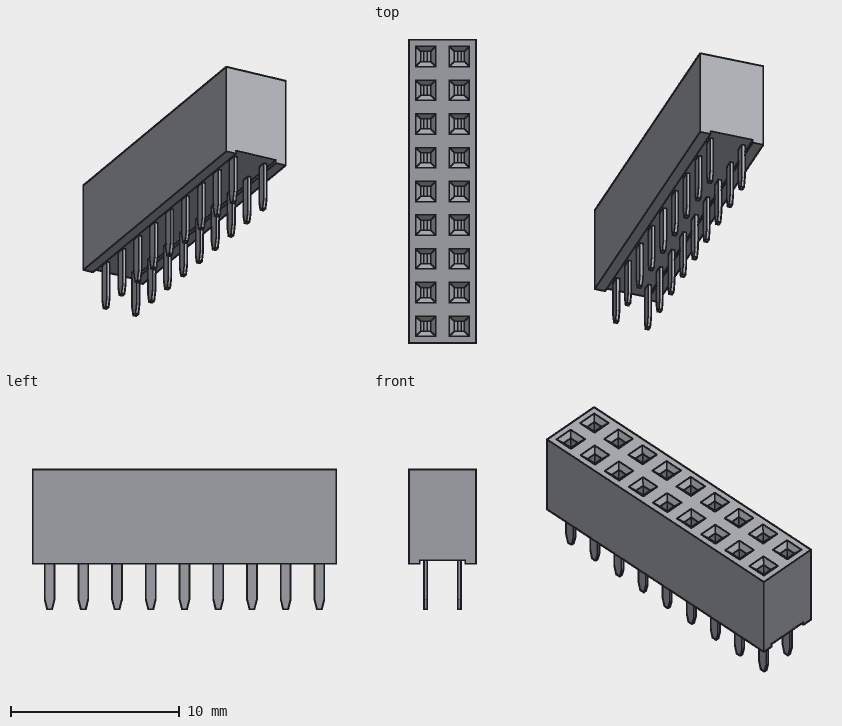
import cadquery as cq

columns = 2
rows = 9
pitch = 2.0

housing_width = columns * pitch
housing_length = rows * pitch
housing_height = 5.6
foot_width = 0.66
foot_height = 0.2

mouth_size = 1.2
well_size = 0.6
funnel_depth = 0.3
floor_thickness = 0.4

pin_thickness = 0.2
pin_width = 0.6
pin_drop = 2.7
tip_width = 0.3
tip_length = 0.6
pin_rise = 0.3

well_floor_z = foot_height + floor_thickness
funnel_bottom_z = housing_height - funnel_depth
well_depth = funnel_bottom_z - well_floor_z
pin_top_z = well_floor_z + pin_rise


def contact_positions():
    """Centres of all contacts, symmetric about the origin."""
    return [
        ((column - (columns - 1) / 2) * pitch, (row - (rows - 1) / 2) * pitch)
        for column in range(columns)
        for row in range(rows)
    ]


def make_housing():
    """Block with a full-length channel underneath that leaves a foot along each side."""
    block = cq.Workplane("XY").box(
        housing_width, housing_length, housing_height, centered=(True, True, False)
    )
    channel_width = housing_width - 2 * foot_width
    channel = cq.Workplane("XY").box(
        channel_width, housing_length, foot_height, centered=(True, True, False)
    )
    return block.cut(channel)


def make_socket():
    """Funnel and well to remove, centred on the Z axis."""
    funnel = (
        cq.Workplane("XY", origin=(0, 0, housing_height))
        .rect(mouth_size, mouth_size)
        .workplane(offset=-funnel_depth)
        .rect(well_size, well_size)
        .loft(ruled=True)
    )
    well = cq.Workplane("XY", origin=(0, 0, well_floor_z)).box(
        well_size, well_size, well_depth, centered=(True, True, False)
    )
    return funnel.union(well)


def make_pin():
    """Blade from the well down to its tapered tip, centred on the Z axis."""
    tip_z = -pin_drop
    taper_z = tip_z + tip_length
    outline = [
        (-pin_width / 2, pin_top_z),
        (pin_width / 2, pin_top_z),
        (pin_width / 2, taper_z),
        (tip_width / 2, tip_z),
        (-tip_width / 2, tip_z),
        (-pin_width / 2, taper_z),
    ]
    return cq.Workplane("YZ").polyline(outline).close().extrude(pin_thickness / 2, both=True)


def at_every_contact(shape):
    """Copies of a shape placed at every contact."""
    solid = shape.val()
    copies = [solid.moved(cq.Location(cq.Vector(x, y, 0))) for x, y in contact_positions()]
    return cq.Workplane("XY").newObject([cq.Compound.makeCompound(copies)])


result = (
    make_housing()
    .cut(at_every_contact(make_socket()))
    .union(at_every_contact(make_pin()))
)